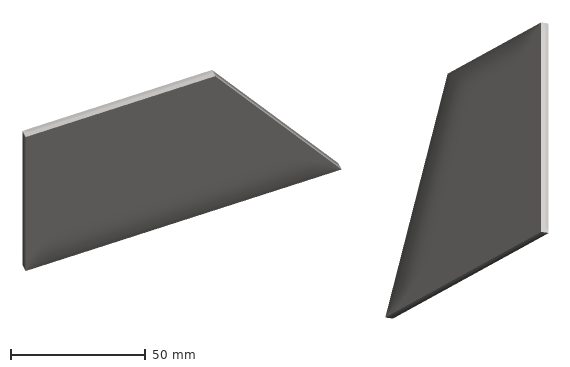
import cadquery as cq

thickness = 3.2
bottom_length = 127.0
top_length = 76.2
height = 81.3

outline = [
    (0, 0),
    (bottom_length, 0),
    (top_length, height),
    (0, height),
]

result = cq.Workplane("YZ").polyline(outline).close().extrude(thickness)